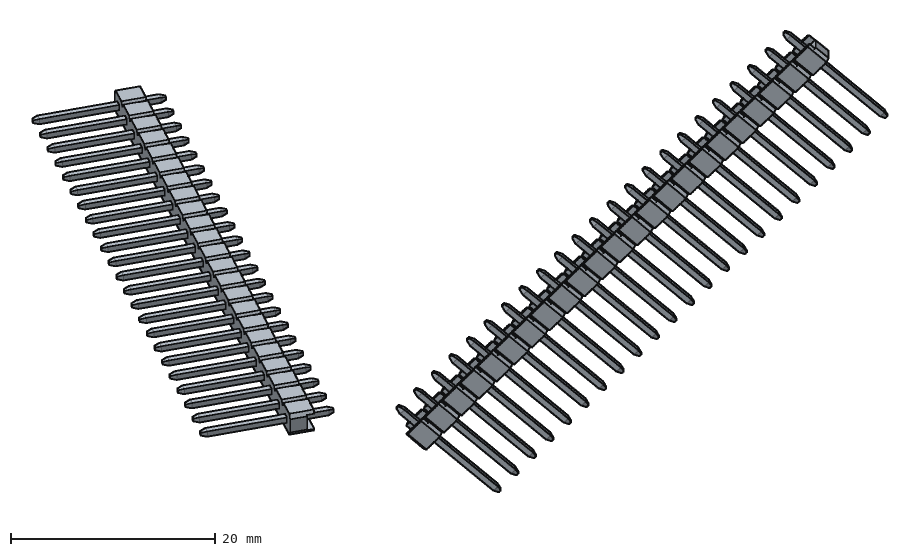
import cadquery as cq


pin_count = 23
row_length = 58.4
pitch = row_length / pin_count
first_segment_x = (pitch - row_length) / 2
segment_centers = [first_segment_x + index * pitch for index in range(pin_count)]

body_height = 2.5
core_depth = 1.75
flange_depth = 2.5
flange_thickness = 0.35

bevel_height = 0.45
bevel_width = 0.3

pin_size = 0.65
pin_length = 13.6
pin_front_length = 8.75
pin_offset = -0.1
tip_length = 0.6
tip_size = 0.32


def top_edge_points():
    """Upper outline of the row from left to right, with a V groove between segments."""
    top = body_height / 2
    groove_bottom = top - bevel_height
    points = [(-row_length / 2, groove_bottom)]
    for center_x in segment_centers:
        left = center_x - pitch / 2
        right = center_x + pitch / 2
        points.append((left + bevel_width, top))
        points.append((right - bevel_width, top))
        points.append((right, groove_bottom))
    return points


def make_body():
    """Grooved bar with a channel along its rear face that leaves the two flanges."""
    upper = top_edge_points()
    lower = [(x, -z) for x, z in reversed(upper)]
    bar = cq.Workplane("XZ").polyline(upper + lower).close().extrude(-flange_depth)
    channel = (
        cq.Workplane("XZ", origin=(0, core_depth, 0))
        .rect(row_length, body_height - 2 * flange_thickness)
        .extrude(core_depth - flange_depth)
    )
    return bar.cut(channel)


def pin_tip(center_x, base_y, direction):
    """Tapered square end of a pin; direction is +1 toward +Y and -1 toward -Y."""
    return (
        cq.Workplane("XZ", origin=(center_x, base_y, 0))
        .rect(pin_size, pin_size)
        .workplane(offset=-direction * tip_length)
        .rect(tip_size, tip_size)
        .loft(ruled=True)
    )


def make_pin(center_x):
    """Square pin with a tapered tip at both ends."""
    shaft_length = pin_length - 2 * tip_length
    front_y = tip_length - pin_front_length
    rear_y = front_y + shaft_length
    shaft = (
        cq.Workplane("XZ", origin=(center_x, front_y, 0))
        .rect(pin_size, pin_size)
        .extrude(-shaft_length)
    )
    return shaft.union(pin_tip(center_x, front_y, -1)).union(pin_tip(center_x, rear_y, 1))


pins = [make_pin(center_x + pin_offset).val() for center_x in segment_centers]
result = cq.Workplane(make_body().val().fuse(*pins))